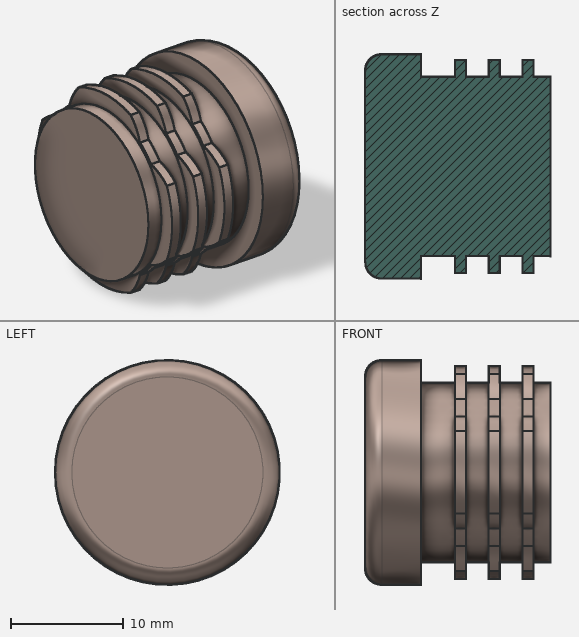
import cadquery as cq
import math

head_diameter = 20.0
head_length = 5.0
head_edge_radius = 1.5

total_length = 16.5
stem_diameter = 16.0

fin_diameter = 19.0
fin_thickness = 1.0
fin_pitch = 3.0
fin_count = 3
first_fin_start = 8.0

notch_count = 4
notch_floor_radius = 8.2
notch_floor_half_width = 1.1
notch_mouth_half_width = 3.6
flank_bulge = 0.15


def cylinder_along_x(diameter, start, length):
    return cq.Workplane("YZ", origin=(start, 0, 0)).circle(diameter / 2).extrude(length)


def make_head():
    head = cylinder_along_x(head_diameter, 0, head_length)
    return head.faces("<X").edges().fillet(head_edge_radius)


def turn(point, angle):
    """Rotate a (y, z) point about the part axis."""
    y, z = point
    cosine = math.cos(angle)
    sine = math.sin(angle)
    return (y * cosine - z * sine, y * sine + z * cosine)


def make_fin(start):
    """Ring with evenly spaced notches, each with a round floor and bulging flanks."""
    fin_radius = fin_diameter / 2
    mouth_angle = math.asin(notch_mouth_half_width / fin_radius)
    floor_angle = math.asin(notch_floor_half_width / notch_floor_radius)

    mouth = (fin_radius * math.cos(mouth_angle), notch_mouth_half_width)
    floor = (notch_floor_radius * math.cos(floor_angle), notch_floor_half_width)
    flank_length = math.dist(mouth, floor)
    bulge_y = flank_bulge * (mouth[1] - floor[1]) / flank_length
    bulge_z = flank_bulge * (floor[0] - mouth[0]) / flank_length
    flank_middle = (
        (mouth[0] + floor[0]) / 2 + bulge_y,
        (mouth[1] + floor[1]) / 2 + bulge_z,
    )

    step = 2 * math.pi / notch_count
    first_angle = step / 2
    outline = cq.Workplane("YZ", origin=(start, 0, 0))
    outline = outline.moveTo(*turn((mouth[0], -mouth[1]), first_angle))
    for index in range(notch_count):
        angle = first_angle + index * step
        outline = (
            outline
            .threePointArc(
                turn((flank_middle[0], -flank_middle[1]), angle),
                turn((floor[0], -floor[1]), angle),
            )
            .threePointArc(turn((notch_floor_radius, 0), angle), turn(floor, angle))
            .threePointArc(turn(flank_middle, angle), turn(mouth, angle))
            .threePointArc(
                turn((fin_radius, 0), angle + step / 2),
                turn((mouth[0], -mouth[1]), angle + step),
            )
        )
    return outline.close().extrude(fin_thickness)


result = make_head().union(
    cylinder_along_x(stem_diameter, head_length, total_length - head_length)
)
for fin_index in range(fin_count):
    result = result.union(make_fin(first_fin_start + fin_index * fin_pitch))